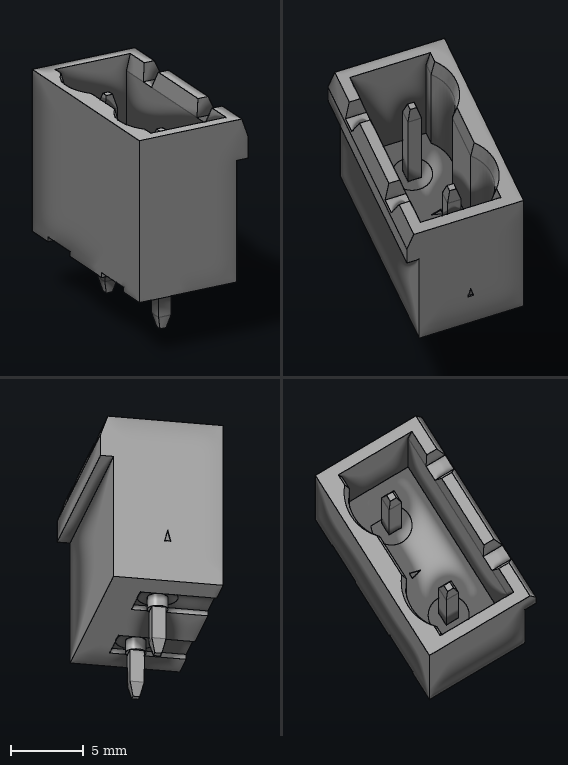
import cadquery as cq


width = 15.0
height = 12.0
body_depth = 7.7
hook_depth = 8.6
hook_height = 3.0
hook_bevel_depth = 0.51
hook_bevel_height = 1.43

side_wall = 0.81
cavity_front = 1.67
cavity_rear = 6.98
floor_level = 3.0
mouth_flare = 0.3
mouth_height = 1.21
scallop_radius = 2.95
cavity_width = width - 2 * side_wall
mouth_level = height - mouth_height

key_floor_width = 1.16
key_top_width = 1.95

pitch = 7.5
pole_y = 3.85
pole_positions = [-pitch / 2, pitch / 2]

pin_width = 1.0
pin_tip_width = 0.5
pin_taper = 1.0
pin_top = 10.75
overall_height = 15.9
pin_bottom = height - overall_height

collar_diameter = 1.43
collar_bottom = -0.52
notch_width = 3.04
notch_height = 0.37
notch_depth = pole_y + notch_width / 2

plug_diameter = 2.81
plug_flat_offset = 0.7

mark_width = 0.41
mark_length = 0.8
mark_thickness = 0.1
mark_recess = 0.1
mark_pocket_depth = mark_recess + mark_thickness
side_mark_y = 3.9
side_mark_base = 3.0
floor_mark_base = 3.1


def block(x_size, y_min, y_max, z_min, z_max, x=0):
    """Box centred on x in the X direction."""
    return cq.Workplane("XY").box(x_size, y_max - y_min, z_max - z_min, centered=(True, False, False)).translate(
        (x, y_min, z_min)
    )


def cylinder(diameter, z_min, z_max, x):
    """Upright cylinder on the axis of the pole at x."""
    return cq.Workplane("XY", origin=(x, pole_y, z_min)).circle(diameter / 2).extrude(z_max - z_min)


def square_frustum(x, z_start, start_width, z_end, end_width):
    """Square section on a pole axis that changes evenly from one width to the other."""
    return (
        cq.Workplane("XY", origin=(x, pole_y, z_start))
        .rect(start_width, start_width)
        .workplane(offset=z_end - z_start)
        .rect(end_width, end_width)
        .loft(ruled=True)
    )


def make_pin(x):
    """Square pin tapered at both ends, with a round collar below the floor."""
    shaft_bottom = pin_bottom + pin_taper
    shaft_top = pin_top - pin_taper
    shaft = square_frustum(x, shaft_bottom, pin_width, shaft_top, pin_width)
    lower_tip = square_frustum(x, shaft_bottom, pin_width, pin_bottom, pin_tip_width)
    upper_tip = square_frustum(x, shaft_top, pin_width, pin_top, pin_tip_width)
    collar = cylinder(collar_diameter, collar_bottom, notch_height, x)
    return shaft.union(lower_tip).union(upper_tip).union(collar)


def plug_envelope(x):
    plug = cylinder(plug_diameter, notch_height, floor_level, x)
    if x == pole_positions[0]:
        flat_x = x - plug_flat_offset
        kept_side = block(
            plug_diameter, pole_y - plug_diameter, pole_y + plug_diameter, 0, height, flat_x + plug_diameter / 2
        )
        plug = plug.intersect(kept_side)
    return plug


def make_plug(x):
    return plug_envelope(x).cut(make_pin(x))


def mark_outline(plane):
    """Triangle with its base centred on the plane origin, pointing along the plane's local Y."""
    return plane.moveTo(-mark_width / 2, 0).lineTo(mark_width / 2, 0).lineTo(0, mark_length).close()


def side_mark(start, end):
    """Mark on the -X face, between two depths below that face."""
    plane = cq.Plane(origin=(-width / 2 + start, side_mark_y, side_mark_base), xDir=(0, 1, 0), normal=(1, 0, 0))
    return mark_outline(cq.Workplane(plane)).extrude(end - start)


def floor_mark(start, end):
    """Mark on the cavity floor, between two depths below the floor."""
    plane = cq.Workplane("XY", origin=(0, floor_mark_base, floor_level - start))
    return mark_outline(plane).extrude(start - end)


def outer_shell():
    """Side profile with the bevelled hook along the rear rim."""
    profile = [
        (0, 0),
        (body_depth, 0),
        (body_depth, height - hook_height),
        (hook_depth, height - hook_height),
        (hook_depth, height - hook_bevel_height),
        (hook_depth - hook_bevel_depth, height),
        (0, height),
    ]
    return cq.Workplane("YZ").polyline(profile).close().extrude(width / 2, both=True)


def cavity():
    """Cavity flared at the mouth along its front and rear walls."""
    profile = [
        (cavity_front, floor_level),
        (cavity_rear, floor_level),
        (cavity_rear, mouth_level),
        (cavity_rear + mouth_flare, height),
        (cavity_front - mouth_flare, height),
        (cavity_front, mouth_level),
    ]
    return cq.Workplane("YZ").polyline(profile).close().extrude(cavity_width / 2, both=True)


def scallop(x):
    """Round relief in the front wall, coaxial with a pole and flared at the mouth."""
    straight = cylinder(2 * scallop_radius, floor_level, height, x)
    flared = (
        cq.Workplane("XY", origin=(x, pole_y, mouth_level))
        .circle(scallop_radius)
        .workplane(offset=mouth_height)
        .circle(scallop_radius + mouth_flare)
        .loft(ruled=True)
    )
    front_wall = block(pitch, 0, cavity_front, 0, height, x)
    return straight.union(flared).intersect(front_wall)


def keying_slot(x):
    """Slot with sloping sides, cut from the cavity through the rear rim."""
    profile = [
        (x - key_floor_width / 2, mouth_level),
        (x + key_floor_width / 2, mouth_level),
        (x + key_top_width / 2, height),
        (x - key_top_width / 2, height),
    ]
    plane = cq.Workplane("XZ", origin=(0, pole_y, 0))
    return plane.polyline(profile).close().extrude(pole_y - hook_depth)


def make_housing():
    housing = outer_shell().cut(cavity())
    for x in pole_positions:
        housing = housing.cut(scallop(x)).cut(keying_slot(x))
        housing = housing.cut(block(notch_width, 0, notch_depth, 0, notch_height, x))
        housing = housing.cut(plug_envelope(x)).cut(make_pin(x))
    return housing.cut(side_mark(0, mark_pocket_depth)).cut(floor_mark(0, mark_pocket_depth))


housing = make_housing()
pins = [make_pin(x) for x in pole_positions]
plugs = [make_plug(x) for x in pole_positions]
marks = [
    side_mark(mark_recess, mark_pocket_depth),
    floor_mark(mark_recess, mark_pocket_depth),
]

result = cq.Compound.makeCompound([body.val() for body in [housing, *pins, *plugs, *marks]])